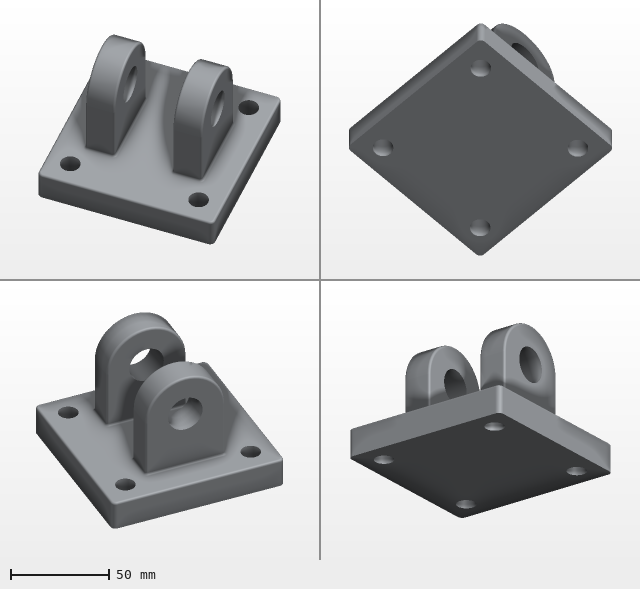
import cadquery as cq

base_side = 96.5
base_height = 15.9
base_corner_radius = 2.8
edge_radius = 1.3

mount_hole_diameter = 10.5
mount_hole_spacing = 70.3

total_height = 69.9
lug_thickness = 15.9
lug_gap = 31.85
lug_width = 44.4
pin_diameter = 19.3

lug_radius = lug_width / 2
pin_height = total_height - lug_radius
lug_offset = (lug_gap + lug_thickness) / 2


def make_base():
    """Square plate standing on Z = 0, with rounded corners and top edge."""
    plate = cq.Workplane("XY").box(base_side, base_side, base_height, centered=(True, True, False))
    return plate.edges("|Z").fillet(base_corner_radius).faces(">Z").edges().fillet(edge_radius)


def make_lug(center_x):
    """Lug standing on the plate, with every edge above the plate rounded."""
    lug = (
        cq.Workplane("YZ", origin=(center_x - lug_thickness / 2, 0, 0))
        .moveTo(-lug_radius, base_height)
        .lineTo(-lug_radius, pin_height)
        .threePointArc((0, total_height), (lug_radius, pin_height))
        .lineTo(lug_radius, base_height)
        .close()
        .extrude(lug_thickness)
    )
    return lug.faces("<X or >X").edges("not <Z").fillet(edge_radius)


body = make_base()
for center_x in (-lug_offset, lug_offset):
    body = body.union(make_lug(center_x))

foot_margin = 0.1
foot_selector = cq.selectors.BoxSelector(
    (-lug_offset - lug_thickness, -lug_width, base_height - foot_margin),
    (lug_offset + lug_thickness, lug_width, base_height + foot_margin),
)
body = body.edges(foot_selector).fillet(edge_radius)

pin_hole = cq.Workplane("YZ").center(0, pin_height).circle(pin_diameter / 2).extrude(base_side / 2, both=True)
mount_holes = (
    cq.Workplane("XY")
    .rect(mount_hole_spacing, mount_hole_spacing, forConstruction=True)
    .vertices()
    .circle(mount_hole_diameter / 2)
    .extrude(base_height)
)
result = body.cut(pin_hole).cut(mount_holes)